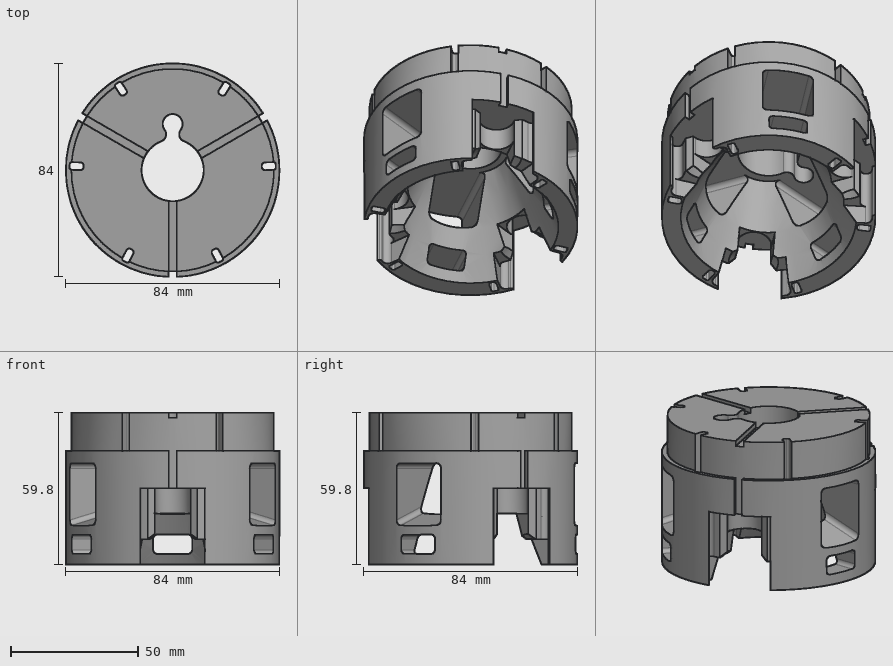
import cadquery as cq
import math

OUTER_R = 42.0
PLUG_R = 39.8
HEIGHT = 59.8
SHOULDER_Z = 44.75
OVERCUT = 0.8

BORE_R = 12.2
LOBE_R = 3.9
LOBE_Y = 18.1
NECK_R = 2.9

CONE_BOTTOM_R = 34.5
CONE_HALF_ANGLE = 26.0

NOTCH_ANGLES = (-90, 30, 150)
LEG_ANGLES = (-30, 90, 210)
WALL_TILT = 30

NOTCH_WIDTH = 25.4
NOTCH_TOP_Z = 30.1
HUB_R = 35.9
SHELL_INNER_R = 40.6
SHELL_EDGE_FILLET = 0.9
POCKET_HALF_ANGLE = 23.8
POCKET_TOP_Z = 10.1
LEG_WALL_OFFSET = 25.1

SEAT_R = 7.05
SEAT_CENTER_R = 32.1
SEAT_SLOT_TOP_Z = 20.1
SEAT_CHAMFER = 2.0
SEAT_CHAMFER_R = 9.7

GROOVE_WIDTH = 3.2
GROOVE_DEPTH = 2.1

RIM_SLOT_WIDTH = 2.9
RIM_SLOT_INNER_R = 35.1
RIM_SLOT_OUTER_R = 40.5
RIM_SLOT_OFFSET = 27.6
RIM_SLOT_INNER_FILLET = 1.2
RIM_SLOT_OUTER_FILLET = 0.75

WINDOW_WIDTH = 20.15
WINDOW_BOTTOM_Z = 15.3
WINDOW_TOP_Z = 39.9
WINDOW_FLOOR_SLOPE = 15.0
WINDOW_FILLET = 2.0
PORT_WIDTH = 15.3
PORT_BOTTOM_Z = 4.3
PORT_TOP_Z = 11.8
PORT_FILLET = 1.7


def polar(radius, degrees):
    angle = math.radians(degrees)
    return (radius * math.cos(angle), radius * math.sin(angle))


def turned(solid, degrees):
    return solid.rotate((0, 0, 0), (0, 0, 1), degrees)


def block(x0, x1, width, z0, z1):
    """Box from x0 to x1, centred on the X axis in plan."""
    base = cq.Workplane("XY", origin=((x0 + x1) / 2, 0, z0))
    return base.rect(x1 - x0, width).extrude(z1 - z0)


def cylinder(radius, z0, z1):
    return cq.Workplane("XY", origin=(0, 0, z0)).circle(radius).extrude(z1 - z0)


def blank():
    skirt = cylinder(OUTER_R, 0, SHOULDER_Z)
    return skirt.union(cylinder(PLUG_R, 0, HEIGHT))


def cavity():
    """Cone that narrows upward to a flat ceiling level with the window tops."""
    top_r = CONE_BOTTOM_R - WINDOW_TOP_Z * math.tan(math.radians(CONE_HALF_ANGLE))
    profile = [(0, 0), (CONE_BOTTOM_R, 0), (top_r, WINDOW_TOP_Z), (0, WINDOW_TOP_Z)]
    return cq.Workplane("XZ").polyline(profile).close().revolve(360, (0, 0, 0), (0, 1, 0))


def keyhole():
    """Bore and small lobe joined by a neck with arcs tangent to both circles."""
    to_bore = BORE_R + NECK_R
    to_lobe = LOBE_R + NECK_R
    neck_y = (LOBE_Y**2 + to_bore**2 - to_lobe**2) / (2 * LOBE_Y)
    neck_x = math.sqrt(to_bore**2 - neck_y**2)
    bore_x = neck_x * BORE_R / to_bore
    bore_y = neck_y * BORE_R / to_bore
    lobe_x = neck_x * LOBE_R / to_lobe
    lobe_y = LOBE_Y + (neck_y - LOBE_Y) * LOBE_R / to_lobe
    return (
        cq.Workplane("XY")
        .moveTo(bore_x, bore_y)
        .threePointArc((0, -BORE_R), (-bore_x, bore_y))
        .threePointArc((NECK_R - neck_x, neck_y), (-lobe_x, lobe_y))
        .threePointArc((0, LOBE_Y + LOBE_R), (lobe_x, lobe_y))
        .threePointArc((neck_x - NECK_R, neck_y), (bore_x, bore_y))
        .close()
        .extrude(HEIGHT)
    )


def annular_slot():
    """Round-ended arc slot between the hub and the thin outer shell."""
    middle_r = (HUB_R + SHELL_INNER_R) / 2
    end_r = (SHELL_INNER_R - HUB_R) / 2
    end_angle = POCKET_HALF_ANGLE - math.degrees(math.asin(end_r / middle_r))
    return (
        cq.Workplane("XY")
        .moveTo(*polar(HUB_R, -end_angle))
        .threePointArc((HUB_R, 0), polar(HUB_R, end_angle))
        .threePointArc(polar(middle_r, POCKET_HALF_ANGLE), polar(SHELL_INNER_R, end_angle))
        .threePointArc((SHELL_INNER_R, 0), polar(SHELL_INNER_R, -end_angle))
        .threePointArc(polar(middle_r, -POCKET_HALF_ANGLE), polar(HUB_R, -end_angle))
        .close()
        .extrude(NOTCH_TOP_Z)
    )


def lower_pocket():
    """Sector cleared below the hub, out to the middle of the annular slot."""
    middle_r = (HUB_R + SHELL_INNER_R) / 2
    return (
        cq.Workplane("XY")
        .lineTo(*polar(middle_r, -POCKET_HALF_ANGLE))
        .threePointArc((middle_r, 0), polar(middle_r, POCKET_HALF_ANGLE))
        .close()
        .extrude(POCKET_TOP_Z)
    )


def leg_wall_cut():
    """V-shaped clearance that leaves the hub walls parallel to each leg."""
    valley_r = LEG_WALL_OFFSET / math.cos(math.radians(WALL_TILT))
    half_width = (HUB_R - valley_r) / math.tan(math.radians(WALL_TILT))
    outline = [(valley_r, 0), (HUB_R, half_width), (HUB_R, -half_width)]
    wedge = cq.Workplane("XY").polyline(outline).close().extrude(NOTCH_TOP_Z)
    return wedge.intersect(cylinder(HUB_R, 0, NOTCH_TOP_Z))


def seat():
    """Vertical round seat, its bottom chamfer and the radial slot into the cavity below it."""
    hole = cq.Workplane("XY").center(SEAT_CENTER_R, 0).circle(SEAT_R).extrude(NOTCH_TOP_Z)
    chamfer = cq.Solid.makeCone(
        SEAT_CHAMFER_R, SEAT_R, SEAT_CHAMFER, cq.Vector(SEAT_CENTER_R, 0, POCKET_TOP_Z)
    )
    slot = block(0, SEAT_CENTER_R, 2 * SEAT_R, 0, SEAT_SLOT_TOP_Z)
    mouth = block(SEAT_CENTER_R, HUB_R, 2 * SEAT_R, 0, NOTCH_TOP_Z)
    return hole.union(cq.Workplane(chamfer)).union(slot).union(mouth)


def shell_opening():
    """Gap through the shell into the annular slot, with the shell's inner edges rounded."""
    gap = block(HUB_R, OUTER_R + OVERCUT, NOTCH_WIDTH, 0, NOTCH_TOP_Z).union(annular_slot())
    edge_x = math.sqrt(SHELL_INNER_R**2 - (NOTCH_WIDTH / 2) ** 2)
    for side in (-1, 1):
        corner = (edge_x, side * NOTCH_WIDTH / 2, NOTCH_TOP_Z / 2)
        gap = gap.edges(cq.selectors.NearestToPointSelector(corner)).fillet(SHELL_EDGE_FILLET)
    return gap


def notch():
    """Everything removed between two legs, pointing along +X."""
    return shell_opening().union(lower_pocket()).union(leg_wall_cut()).union(seat())


def top_groove():
    groove = block(0, OUTER_R, GROOVE_WIDTH, HEIGHT - GROOVE_DEPTH, HEIGHT)
    slit = block(HUB_R, OUTER_R + OVERCUT, GROOVE_WIDTH, NOTCH_TOP_Z, SHOULDER_Z)
    return groove.union(slit.cut(cylinder(PLUG_R, 0, HEIGHT)))


def rim_slot():
    """Narrow vertical slot, well rounded at its inner end and less so at its outer end."""
    slot = block(RIM_SLOT_INNER_R, RIM_SLOT_OUTER_R, RIM_SLOT_WIDTH, 0, HEIGHT)
    slot = slot.edges("|Z and <X").fillet(RIM_SLOT_INNER_FILLET)
    return slot.edges("|Z and >X").fillet(RIM_SLOT_OUTER_FILLET)


def window():
    """Large leg opening whose floor climbs toward the axis."""
    rise = OUTER_R * math.tan(math.radians(WINDOW_FLOOR_SLOPE))
    profile = [
        (0, WINDOW_TOP_Z),
        (OUTER_R, WINDOW_TOP_Z),
        (OUTER_R, WINDOW_BOTTOM_Z),
        (0, WINDOW_BOTTOM_Z + rise),
    ]
    prism = cq.Workplane("XZ").polyline(profile).close().extrude(WINDOW_WIDTH / 2, both=True)
    return prism.edges("not(|Y or |Z)").fillet(WINDOW_FILLET)


def port():
    """Small leg opening below the window."""
    return block(0, OUTER_R, PORT_WIDTH, PORT_BOTTOM_Z, PORT_TOP_Z).edges("|X").fillet(PORT_FILLET)


result = blank().cut(cavity()).cut(keyhole())
for angle in NOTCH_ANGLES:
    result = result.cut(turned(notch(), angle))
    result = result.cut(turned(top_groove(), angle))
    for offset in (-RIM_SLOT_OFFSET, RIM_SLOT_OFFSET):
        result = result.cut(turned(rim_slot(), angle + offset))
for angle in LEG_ANGLES:
    result = result.cut(turned(window(), angle))
    result = result.cut(turned(port(), angle))